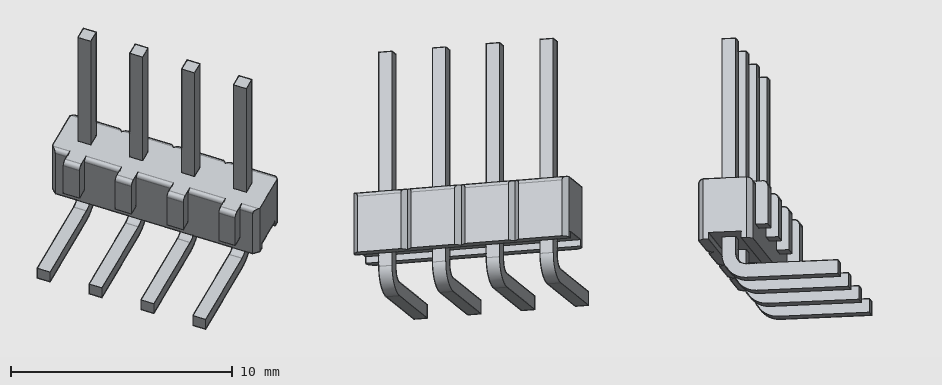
import cadquery as cq

pin_count = 4
total_height = 11.12
length = 10.16
pitch = length / pin_count

body_depth = 2.5
body_top = 4.43
body_height = 2.8
body_bottom = body_top - body_height
edge_chamfer = 0.25
body_round = 0.2
channel_width = 1.5
channel_depth = 0.3

rib_width = 0.8
rib_height = 2.0
rib_projection = 0.56
rib_round = 0.22

pin_size = 0.63
bend_inner_radius = 0.5
pin_end_y = -5.0

half_pin = pin_size / 2
front_y = -body_depth / 2
back_y = body_depth / 2
pin_positions = [(i - (pin_count - 1) / 2) * pitch for i in range(pin_count)]


def make_rounded_block(width, depth, height, top_round, x, y):
    """Block hanging from the housing top, with its top front edge rounded."""
    block = cq.Workplane("XY").box(width, depth, height, centered=(True, False, False))
    block = block.faces("<Y").edges(">Z").fillet(top_round)
    return block.translate((x, y, body_top - height))


def make_housing():
    housing = make_rounded_block(length, body_depth, body_height, body_round, 0, front_y)
    housing = housing.faces(">Y").edges(">Z").fillet(body_round)

    boundaries = [(i - pin_count / 2) * pitch for i in range(pin_count + 1)]
    back_cuts = [(x, back_y) for x in boundaries]
    front_cuts = [(x, front_y) for x in (boundaries[0], boundaries[-1])]
    v_cut = (
        cq.Workplane("XY", origin=(0, 0, body_bottom))
        .pushPoints(back_cuts + front_cuts)
        .polygon(4, 2 * edge_chamfer)
        .extrude(body_height)
    )
    channel = cq.Workplane("XY", origin=(0, 0, body_bottom)).box(
        length, channel_width, channel_depth, centered=(True, True, False)
    )
    return housing.cut(v_cut).cut(channel)


def make_rib(x):
    depth = body_depth / 2 + rib_projection
    return make_rounded_block(rib_width, depth, rib_height, rib_round, x, front_y - rib_projection)


def make_pin(x):
    """Square pin: a vertical leg bent a quarter turn to point along -Y."""
    bend_y = -half_pin - bend_inner_radius
    bend_z = pin_size + bend_inner_radius
    centre_radius = bend_inner_radius + half_pin
    path = (
        cq.Workplane("YZ", origin=(x, 0, 0))
        .moveTo(0, total_height)
        .lineTo(0, bend_z)
        .radiusArc((bend_y, half_pin), centre_radius)
        .lineTo(pin_end_y, half_pin)
    )
    section = cq.Workplane("XY", origin=(x, 0, total_height)).rect(pin_size, pin_size)
    return section.sweep(path)


result = make_housing()
for pin_x in pin_positions:
    result = result.union(make_rib(pin_x)).union(make_pin(pin_x))